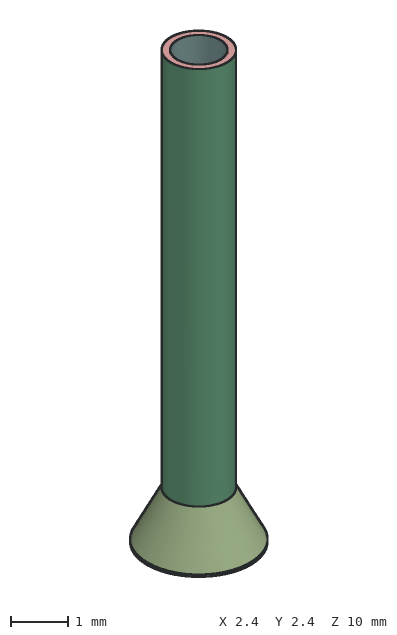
import cadquery as cq

total_height = 10.0
tube_diameter = 1.3
bore_diameter = 1.0
flange_diameter = 2.4
rim_height = 0.05
flare_top = 1.1

tube_radius = tube_diameter / 2
bore_radius = bore_diameter / 2
flange_radius = flange_diameter / 2


def make_body():
    """Revolve a straight tube with a flared foot and a thin cylindrical rim."""
    half_section = (
        cq.Workplane("XZ")
        .moveTo(0, 0)
        .lineTo(flange_radius, 0)
        .lineTo(flange_radius, rim_height)
        .lineTo(tube_radius, flare_top)
        .lineTo(tube_radius, total_height)
        .lineTo(0, total_height)
        .close()
    )
    return half_section.revolve(360, (0, 0, 0), (0, 1, 0))


def make_bore():
    """Straight bore through the full height."""
    return cq.Workplane("XY").circle(bore_radius).extrude(total_height)


result = make_body().cut(make_bore())